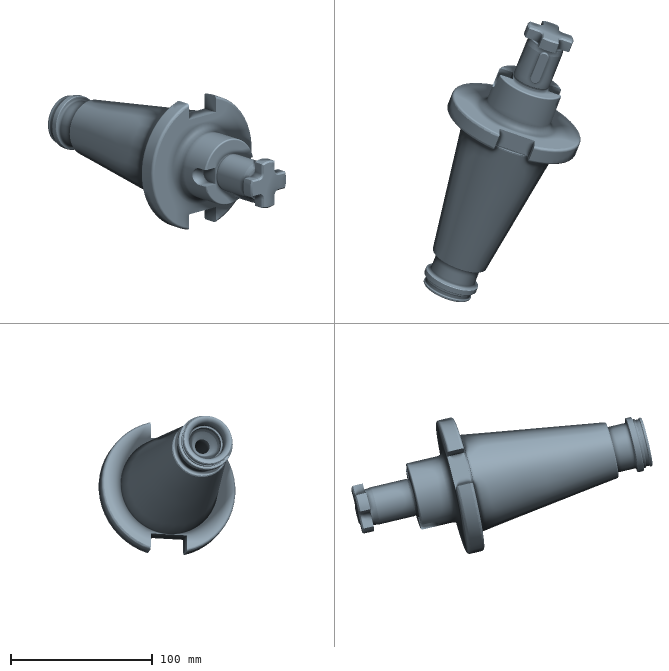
import cadquery as cq
import math

TOTAL_LENGTH = 210.8

RIM_MARGIN = 0.2

RIM_RADIUS = 17.7
RIM_CHAMFER = 0.6
RIM_GROOVE_START = 1.7
RIM_GROOVE_END = 5.0
RIM_GROOVE_DEPTH = 0.8
COLLAR_START = 6.7
COLLAR_END = 11.2
COLLAR_RADIUS = 19.5
COLLAR_CHAMFER = 0.5
NECK_RADIUS = 16.5
NECK_FILLET = 1.5
NECK_END_FILLET = 0.6

TAPER_START = 25.3
TAPER_END = 127.1
TAPER_RADIUS = 35.0
TAPER_SLOPE = 7 / 48
TAPER_SMALL_RADIUS = TAPER_RADIUS - TAPER_SLOPE * (TAPER_END - TAPER_START)
TAPER_CHAMFER = 0.6
RELIEF_START = 128.2
RELIEF_DEPTH = 0.5

FLANGE_START = 129.6
FLANGE_END = 141.9
FLANGE_RADIUS = 48.5
FLANGE_FILLET = 2.0
NOTCH_WIDTH = 26.1
NOTCH_FLOOR = TAPER_RADIUS

SHOULDER_END = 169.7
SHOULDER_RADIUS = 24.0
SHOULDER_FILLET = 5.0
SHOULDER_EDGE_FILLET = 1.0
SLOT_WIDTH = 12.2
SLOT_LENGTH = 12.6
SLOT_FLOOR = 13.5

UNDERCUT_END = 171.5
UNDERCUT_DEPTH = 0.6
ARBOR_RADIUS = 13.5
ARBOR_LEAD_START = 197.7
ARBOR_END = 201.3
ARBOR_END_RADIUS = 13.0

BORE_RADIUS = 13.0
BORE_MOUTH_FILLET = 3.5
BORE_DEPTH = 10.1
STEP_RADIUS = 11.8
STEP_DEPTH = 14.1
STEP_CHAMFER = 1.5
DRILL_POINT_ANGLE = 120.0

KEY_START = 175.4
KEY_LENGTH = 24.2
KEY_WIDTH = 7.0
KEY_BOTTOM = -15.8
KEY_CHAMFER = 0.5

SCREW_RADIUS = 5.3
SCREW_TIP = 164.5
SCREW_TIP_CHAMFER = 1.5
HEAD_START = 202.5
HEAD_RADIUS = 17.3
HEAD_CHAMFER = 1.0
ARM_WIDTH = 12.5
ARM_ROOT_FILLET = 3.2
HEAD_NECK_RADIUS = ARBOR_END_RADIUS


def turned(profile):
    """Revolve a closed (x, radius) outline about the X axis."""
    return profile.close().revolve(360, (0, 0, 0), (1, 0, 0))


def concave_arc(profile, centre, start, end):
    """Add a quarter arc from start to end that bows inward about centre."""
    radius = math.dist(centre, start)
    x_side = math.copysign(radius * math.sqrt(0.5), start[0] + end[0] - 2 * centre[0])
    r_side = math.copysign(radius * math.sqrt(0.5), start[1] + end[1] - 2 * centre[1])
    return profile.threePointArc((centre[0] + x_side, centre[1] + r_side), end)


def groove(profile, start, end, radius, depth):
    """Add a groove to the outline whose two corners are rounded over its full depth."""
    floor = radius - depth
    profile = profile.lineTo(start, radius)
    profile = concave_arc(profile, (start + depth, radius), (start, radius), (start + depth, floor))
    profile = profile.lineTo(end - depth, floor)
    return concave_arc(profile, (end - depth, radius), (end - depth, floor), (end, radius))


def holder_blank():
    """Outer turned shape of the holder, solid through."""
    profile = (
        cq.Workplane("XZ")
        .moveTo(0, 0)
        .lineTo(0, RIM_RADIUS - RIM_CHAMFER)
        .lineTo(RIM_CHAMFER, RIM_RADIUS)
    )
    profile = groove(profile, RIM_GROOVE_START, RIM_GROOVE_END, RIM_RADIUS, RIM_GROOVE_DEPTH)
    profile = (
        profile.lineTo(COLLAR_START, RIM_RADIUS)
        .lineTo(COLLAR_START, COLLAR_RADIUS - COLLAR_CHAMFER)
        .lineTo(COLLAR_START + COLLAR_CHAMFER, COLLAR_RADIUS)
        .lineTo(COLLAR_END - COLLAR_CHAMFER, COLLAR_RADIUS)
        .lineTo(COLLAR_END, COLLAR_RADIUS - COLLAR_CHAMFER)
        .lineTo(COLLAR_END, NECK_RADIUS + NECK_FILLET)
    )
    profile = concave_arc(
        profile,
        (COLLAR_END + NECK_FILLET, NECK_RADIUS + NECK_FILLET),
        (COLLAR_END, NECK_RADIUS + NECK_FILLET),
        (COLLAR_END + NECK_FILLET, NECK_RADIUS),
    )
    profile = profile.lineTo(TAPER_START - NECK_END_FILLET, NECK_RADIUS)
    profile = concave_arc(
        profile,
        (TAPER_START - NECK_END_FILLET, NECK_RADIUS + NECK_END_FILLET),
        (TAPER_START - NECK_END_FILLET, NECK_RADIUS),
        (TAPER_START, NECK_RADIUS + NECK_END_FILLET),
    )
    profile = (
        profile.lineTo(TAPER_START, TAPER_SMALL_RADIUS - TAPER_CHAMFER)
        .lineTo(TAPER_START + TAPER_CHAMFER, TAPER_SMALL_RADIUS + TAPER_SLOPE * TAPER_CHAMFER)
        .lineTo(TAPER_END, TAPER_RADIUS)
    )
    profile = groove(profile, RELIEF_START, FLANGE_START, TAPER_RADIUS, RELIEF_DEPTH)
    profile = (
        profile.lineTo(FLANGE_START, FLANGE_RADIUS)
        .lineTo(FLANGE_END, FLANGE_RADIUS)
        .lineTo(FLANGE_END, SHOULDER_RADIUS + SHOULDER_FILLET)
    )
    profile = concave_arc(
        profile,
        (FLANGE_END + SHOULDER_FILLET, SHOULDER_RADIUS + SHOULDER_FILLET),
        (FLANGE_END, SHOULDER_RADIUS + SHOULDER_FILLET),
        (FLANGE_END + SHOULDER_FILLET, SHOULDER_RADIUS),
    )
    profile = profile.lineTo(SHOULDER_END, SHOULDER_RADIUS)
    profile = groove(profile, SHOULDER_END, UNDERCUT_END, ARBOR_RADIUS, UNDERCUT_DEPTH)
    profile = (
        profile.lineTo(ARBOR_LEAD_START, ARBOR_RADIUS)
        .lineTo(ARBOR_END, ARBOR_END_RADIUS)
        .lineTo(ARBOR_END, 0)
    )
    blank = turned(profile)
    for x, radius, size in (
        (FLANGE_START, FLANGE_RADIUS, FLANGE_FILLET),
        (FLANGE_END, FLANGE_RADIUS, FLANGE_FILLET),
        (SHOULDER_END, SHOULDER_RADIUS, SHOULDER_EDGE_FILLET),
    ):
        rim = cq.selectors.BoxSelector(
            (x - RIM_MARGIN, -radius - RIM_MARGIN, -radius - RIM_MARGIN),
            (x + RIM_MARGIN, radius + RIM_MARGIN, radius + RIM_MARGIN),
            boundingbox=True,
        )
        blank = blank.edges(rim).edges(cq.selectors.RadiusNthSelector(-1)).fillet(size)
    return blank


def stepped_bore():
    """Volume of the bore: rounded mouth, step, conical bottom and the screw hole to the arbor end."""
    cone_start = STEP_DEPTH + STEP_CHAMFER
    cone_radius = STEP_RADIUS - STEP_CHAMFER
    cone_length = (cone_radius - SCREW_RADIUS) / math.tan(math.radians(DRILL_POINT_ANGLE / 2))
    profile = cq.Workplane("XZ").moveTo(0, 0).lineTo(0, BORE_RADIUS + BORE_MOUTH_FILLET)
    profile = concave_arc(
        profile,
        (BORE_MOUTH_FILLET, BORE_RADIUS + BORE_MOUTH_FILLET),
        (0, BORE_RADIUS + BORE_MOUTH_FILLET),
        (BORE_MOUTH_FILLET, BORE_RADIUS),
    )
    profile = (
        profile.lineTo(BORE_DEPTH, BORE_RADIUS)
        .lineTo(BORE_DEPTH, STEP_RADIUS)
        .lineTo(STEP_DEPTH, STEP_RADIUS)
        .lineTo(cone_start, cone_radius)
        .lineTo(cone_start + cone_length, SCREW_RADIUS)
        .lineTo(ARBOR_END, SCREW_RADIUS)
        .lineTo(ARBOR_END, 0)
    )
    return turned(profile)


def flange_notches():
    """Two drive notches through the flange rim, at the top and the bottom."""
    depth = FLANGE_RADIUS - NOTCH_FLOOR
    centres = [((FLANGE_START + FLANGE_END) / 2, 0, side * (NOTCH_FLOOR + depth / 2)) for side in (-1, 1)]
    return cq.Workplane("XY").pushPoints(centres).box(FLANGE_END - FLANGE_START, NOTCH_WIDTH, depth)


def shoulder_slots():
    """Two round-ended drive slots, open at the shoulder face, on the -Y and +Y sides."""
    half_width = SLOT_WIDTH / 2
    slot_start = SHOULDER_END - SLOT_LENGTH
    depth = SHOULDER_RADIUS - SLOT_FLOOR
    slot = (
        cq.Workplane("XZ", origin=(0, -SLOT_FLOOR, 0))
        .moveTo(SHOULDER_END, -half_width)
        .lineTo(slot_start + half_width, -half_width)
        .threePointArc((slot_start, 0), (slot_start + half_width, half_width))
        .lineTo(SHOULDER_END, half_width)
        .close()
        .extrude(depth)
    )
    return slot.union(slot.mirror("XZ"))


def key_block():
    """Round-ended block with the outline of the feather key."""
    return (
        cq.Workplane("XY", origin=(KEY_START + KEY_LENGTH / 2, 0, KEY_BOTTOM))
        .slot2D(KEY_LENGTH, KEY_WIDTH)
        .extrude(KEY_WIDTH)
    )


def feather_key():
    """Key with a small chamfer around its outer face."""
    return key_block().faces("<Z").chamfer(KEY_CHAMFER)


def clamp_screw():
    """Four-armed round head, a short neck that meets the arbor end, and a shank with a chamfered tip."""
    disc = (
        cq.Workplane("YZ", origin=(HEAD_START, 0, 0))
        .circle(HEAD_RADIUS)
        .extrude(TOTAL_LENGTH - HEAD_START)
    )
    arms = (
        cq.Workplane("YZ", origin=(HEAD_START, 0, 0))
        .rect(2 * HEAD_RADIUS, ARM_WIDTH)
        .extrude(TOTAL_LENGTH - HEAD_START)
    )
    cross = arms.union(arms.rotate((0, 0, 0), (1, 0, 0), 90))
    half_core = ARM_WIDTH / 2 + ARM_ROOT_FILLET / 2
    roots = cq.selectors.BoxSelector(
        (HEAD_START, -half_core, -half_core), (TOTAL_LENGTH, half_core, half_core)
    )
    cross = cross.edges("|X").edges(roots).fillet(ARM_ROOT_FILLET)
    head = disc.intersect(cross).faces(">X").chamfer(HEAD_CHAMFER)
    neck = (
        cq.Workplane("YZ", origin=(ARBOR_END, 0, 0))
        .circle(HEAD_NECK_RADIUS)
        .extrude(HEAD_START - ARBOR_END)
    )
    shank = (
        cq.Workplane("YZ", origin=(SCREW_TIP, 0, 0))
        .circle(SCREW_RADIUS)
        .extrude(ARBOR_END - SCREW_TIP)
        .faces("<X")
        .chamfer(SCREW_TIP_CHAMFER)
    )
    return head.union(neck).union(shank)


holder = (
    holder_blank()
    .cut(stepped_bore())
    .cut(flange_notches())
    .cut(shoulder_slots())
    .cut(key_block())
)
key = feather_key()
screw = clamp_screw()

result = cq.Compound.makeCompound([holder.val(), key.val(), screw.val()])